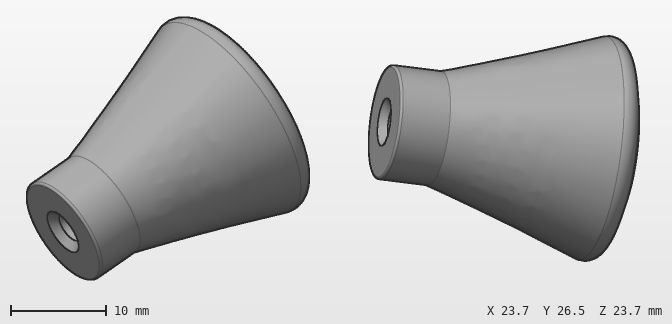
import cadquery as cq
import math

length = 26.5
head_radius = 11.82

neck_radius = 6.02
neck_length = 5.4
neck_edge_fillet = 0.26

flare_end = 22.6
flare_end_radius = 11.75
flare_sag = 0.13

rim_end = 24.45
rim_end_radius = 10.8
rim_middle = 23.2

hole_radius = 1.65
hole_depth = 7.95
countersink_radius = 2.52
countersink_depth = countersink_radius - hole_radius
drill_tip_angle = 118.0


def knob_body():
    """Revolve the outer profile, given as (radius, distance along Y)."""
    fillet_shift = neck_edge_fillet * (1 - math.sqrt(0.5))
    fillet_middle = (neck_radius - fillet_shift, fillet_shift)

    rise = flare_end_radius - neck_radius
    run = flare_end - neck_length
    chord = math.hypot(rise, run)
    flare_middle = (
        (neck_radius + flare_end_radius) / 2 - flare_sag * run / chord,
        (neck_length + flare_end) / 2 + flare_sag * rise / chord,
    )

    dome_height = length - rim_end
    dome_radius = (rim_end_radius**2 + dome_height**2) / (2 * dome_height)
    half_angle = math.asin(rim_end_radius / dome_radius) / 2
    dome_middle = (
        dome_radius * math.sin(half_angle),
        length - dome_radius * (1 - math.cos(half_angle)),
    )

    profile = (
        cq.Workplane("XY")
        .lineTo(neck_radius - neck_edge_fillet, 0)
        .threePointArc(fillet_middle, (neck_radius, neck_edge_fillet))
        .lineTo(neck_radius, neck_length)
        .threePointArc(flare_middle, (flare_end_radius, flare_end))
        .threePointArc((head_radius, rim_middle), (rim_end_radius, rim_end))
        .threePointArc(dome_middle, (0, length))
        .close()
    )
    return profile.revolve(360, (0, 0), (0, 1))


def blind_hole():
    """Revolve the countersunk hole with its conical drill tip."""
    tip_height = hole_radius / math.tan(math.radians(drill_tip_angle / 2))
    profile = (
        cq.Workplane("XY")
        .lineTo(countersink_radius, 0)
        .lineTo(hole_radius, countersink_depth)
        .lineTo(hole_radius, hole_depth)
        .lineTo(0, hole_depth + tip_height)
        .close()
    )
    return profile.revolve(360, (0, 0), (0, 1))


result = knob_body().cut(blind_hole())